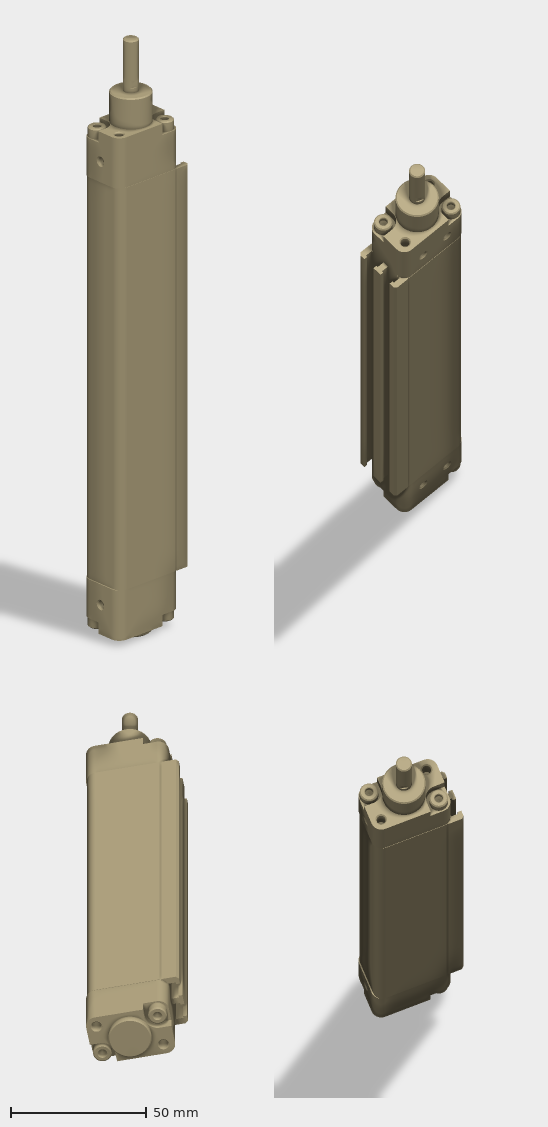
import cadquery as cq
import math


TOTAL_HEIGHT = 239.5
COLLAR_TOP_Z = 218.5
BOTTOM_COLLAR_HEIGHT = 2.5
HEAD_HEIGHT = 20.4
TOP_HEAD_TOP_Z = 206.0
BOTTOM_HEAD_TOP_Z = BOTTOM_COLLAR_HEIGHT + HEAD_HEIGHT
TOP_HEAD_BOTTOM_Z = TOP_HEAD_TOP_Z - HEAD_HEIGHT
HEAD_MID_Z = (BOTTOM_COLLAR_HEIGHT + TOP_HEAD_TOP_Z) / 2

HEAD_WIDTH = 19.9
HEAD_FRONT_Y = -15.3
HEAD_BACK_Y = 15.8
HEAD_CORNER_RADIUS = 3.8

COLLAR_DIAMETER = 16.0
COLLAR_CHAMFER = 0.5

TUBE_WIDTH = 20.0
TUBE_FRONT_Y = -14.8
TUBE_BACK_Y = 20.0
TUBE_CORNER_RADIUS = 3.5
TUBE_BACK_CHAMFER = 1.0
SLOT_FLOOR_Y = 15.8
SLOT_LIP_HEIGHT = 1.5
SLOT_INNER_X = 1.2
SLOT_OUTER_X = 7.7
SLOT_LIP_OVERHANG = 0.7
GROOVE_Y = 13.5
GROOVE_WIDTH = 0.7
GROOVE_DEPTH = 0.2

FASTENER_X = 6.0
FASTENER_Y = 11.5
MOUNT_HOLE_DIAMETER = 3.4
MOUNT_HOLE_DEPTH = 7.2

RECESS_RADIUS = 4.8
RECESS_DEPTH = 4.5
SCREW_HEAD_DIAMETER = 7.0
SCREW_HEAD_HEIGHT = 4.0
SCREW_HEAD_CHAMFER = 0.5
SCREW_SOCKET_DIAMETER = 3.0
SCREW_SOCKET_DEPTH = 2.0
SCREW_SOCKET_CHAMFER = 0.2
DRILL_POINT_ANGLE = 118.0

PORT_DIAMETER = 3.0
PORT_DEPTH = 2.5
PORT_HEIGHT = 12.0
SIDE_PORT_SPACING = 12.0

COUNTERSINK = 0.5

ROD_DIAMETER = 6.0
ROD_CHAMFER = 0.5
FLAT_WIDTH = 5.0
FLAT_BOTTOM_Z = 220.3
FLAT_TOP_Z = 223.2
FLAT_ANGLE = 20.0


def mirror_to_bottom(solid):
    """Mirror a top-head shape onto the bottom head."""
    return solid.mirror("XY", (0, 0, HEAD_MID_Z))


def cylinder_at(x, y, z, diameter, height):
    return cq.Workplane("XY", origin=(x, y, z)).circle(diameter / 2).extrude(height)


def make_hole(diameter, depth, countersink, point_depth=0.0):
    """Blind hole going down from the origin, with a countersunk mouth and a flat or conical end."""
    radius = diameter / 2
    hole = cylinder_at(0, 0, -depth, diameter, depth)
    mouth = cq.Solid.makeCone(radius, radius + countersink, countersink, cq.Vector(0, 0, -countersink))
    hole = hole.union(cq.Workplane(mouth))
    if point_depth > 0:
        point = cq.Solid.makeCone(0, radius, point_depth, cq.Vector(0, 0, -depth - point_depth))
        hole = hole.union(cq.Workplane(point))
    return hole


def make_corner_recess():
    """Open corner pocket at -X -Y of the top head, rounded around the screw axis."""
    length = 2 * RECESS_RADIUS
    return (
        cq.Workplane("XY", origin=(-FASTENER_X, -FASTENER_Y, TOP_HEAD_TOP_Z - RECESS_DEPTH))
        .moveTo(RECESS_RADIUS, -length)
        .lineTo(RECESS_RADIUS, 0)
        .radiusArc((0, RECESS_RADIUS), -RECESS_RADIUS)
        .lineTo(-length, RECESS_RADIUS)
        .lineTo(-length, -length)
        .close()
        .extrude(RECESS_DEPTH)
    )


def make_screw_head():
    """Socket head standing on the floor of the -X -Y corner recess."""
    floor_z = TOP_HEAD_TOP_Z - RECESS_DEPTH
    top_z = floor_z + SCREW_HEAD_HEIGHT
    head = cylinder_at(-FASTENER_X, -FASTENER_Y, floor_z, SCREW_HEAD_DIAMETER, SCREW_HEAD_HEIGHT)
    head = head.faces(">Z").chamfer(SCREW_HEAD_CHAMFER)
    point_depth = SCREW_SOCKET_DIAMETER / 2 / math.tan(math.radians(DRILL_POINT_ANGLE / 2))
    socket = make_hole(SCREW_SOCKET_DIAMETER, SCREW_SOCKET_DEPTH, SCREW_SOCKET_CHAMFER, point_depth)
    return head.cut(socket.translate((-FASTENER_X, -FASTENER_Y, top_z)))


def make_ports():
    """Blind ports: one in the -Y face and two in the -X face of the top head."""
    port_z = TOP_HEAD_TOP_Z - PORT_HEIGHT
    port = make_hole(PORT_DIAMETER, PORT_DEPTH, COUNTERSINK)
    front_port = port.rotate((0, 0, 0), (1, 0, 0), 90)
    side_port = port.rotate((0, 0, 0), (0, 1, 0), -90)
    ports = front_port.translate((0, HEAD_FRONT_Y, port_z))
    for y in (-SIDE_PORT_SPACING / 2, SIDE_PORT_SPACING / 2):
        ports = ports.union(side_port.translate((-HEAD_WIDTH / 2, y, port_z)))
    return ports


def make_top_head():
    head = (
        cq.Workplane("XY", origin=(0, (HEAD_FRONT_Y + HEAD_BACK_Y) / 2, TOP_HEAD_BOTTOM_Z))
        .rect(HEAD_WIDTH, HEAD_BACK_Y - HEAD_FRONT_Y)
        .extrude(HEAD_HEIGHT)
        .edges("|Z")
        .fillet(HEAD_CORNER_RADIUS)
    )
    mount_hole = make_hole(MOUNT_HOLE_DIAMETER, MOUNT_HOLE_DEPTH, COUNTERSINK)
    for side in (1, -1):
        head = head.cut(mount_hole.translate((-side * FASTENER_X, side * FASTENER_Y, TOP_HEAD_TOP_Z)))
    for angle in (0, 180):
        head = head.cut(make_corner_recess().rotate((0, 0, 0), (0, 0, 1), angle))
        head = head.union(make_screw_head().rotate((0, 0, 0), (0, 0, 1), angle))
    return head.cut(make_ports())


def make_tube():
    """Extruded tube between the heads, with T-slots and side grooves along its length."""
    height = TOP_HEAD_BOTTOM_Z - BOTTOM_HEAD_TOP_Z

    def bar(x, y_low, y_high, width):
        base = cq.Workplane("XY", origin=(x, (y_low + y_high) / 2, BOTTOM_HEAD_TOP_Z))
        return base.rect(width, y_high - y_low).extrude(height)

    tube = bar(0, TUBE_FRONT_Y, TUBE_BACK_Y, TUBE_WIDTH)
    tube = tube.edges("|Z and <Y").fillet(TUBE_CORNER_RADIUS)
    tube = tube.edges("|Z and >Y").chamfer(TUBE_BACK_CHAMFER)

    slot_mid_x = (SLOT_INNER_X + SLOT_OUTER_X) / 2
    slot_width = SLOT_OUTER_X - SLOT_INNER_X
    opening_width = slot_width - 2 * SLOT_LIP_OVERHANG
    groove_low_y = GROOVE_Y - GROOVE_WIDTH / 2
    groove_high_y = GROOVE_Y + GROOVE_WIDTH / 2
    for side in (-1, 1):
        tube = tube.cut(bar(side * slot_mid_x, SLOT_FLOOR_Y, TUBE_BACK_Y - SLOT_LIP_HEIGHT, slot_width))
        tube = tube.cut(bar(side * slot_mid_x, SLOT_FLOOR_Y, TUBE_BACK_Y, opening_width))
        tube = tube.cut(bar(side * TUBE_WIDTH / 2, groove_low_y, groove_high_y, 2 * GROOVE_DEPTH))
    return tube


def make_housing():
    top_head = make_top_head()
    top_collar = cylinder_at(0, 0, TOP_HEAD_TOP_Z, COLLAR_DIAMETER, COLLAR_TOP_Z - TOP_HEAD_TOP_Z)
    top_collar = top_collar.faces(">Z").chamfer(COLLAR_CHAMFER)
    bottom_collar = cylinder_at(0, 0, 0, COLLAR_DIAMETER, BOTTOM_COLLAR_HEIGHT)
    bottom_collar = bottom_collar.faces("<Z").chamfer(COLLAR_CHAMFER)
    housing = (
        make_tube()
        .union(top_head)
        .union(mirror_to_bottom(top_head))
        .union(top_collar)
        .union(bottom_collar)
    )
    rod_bore = cylinder_at(0, 0, TOP_HEAD_BOTTOM_Z, ROD_DIAMETER, COLLAR_TOP_Z - TOP_HEAD_BOTTOM_Z)
    return housing.cut(rod_bore)


def make_piston_rod():
    """Rod seated in the bore of the top head, with two opposite wrench flats."""
    rod = cylinder_at(0, 0, TOP_HEAD_BOTTOM_Z, ROD_DIAMETER, TOTAL_HEIGHT - TOP_HEAD_BOTTOM_Z)
    rod = rod.faces(">Z").chamfer(ROD_CHAMFER)
    for side in (-1, 1):
        notch = (
            cq.Workplane("XY", origin=(0, 0, FLAT_BOTTOM_Z))
            .center(side * (FLAT_WIDTH + ROD_DIAMETER) / 2, 0)
            .rect(ROD_DIAMETER, 2 * ROD_DIAMETER)
            .extrude(FLAT_TOP_Z - FLAT_BOTTOM_Z)
        )
        rod = rod.cut(notch.rotate((0, 0, 0), (0, 0, 1), -FLAT_ANGLE))
    return rod


housing = make_housing()
piston_rod = make_piston_rod()
result = cq.Compound.makeCompound([housing.val(), piston_rod.val()])